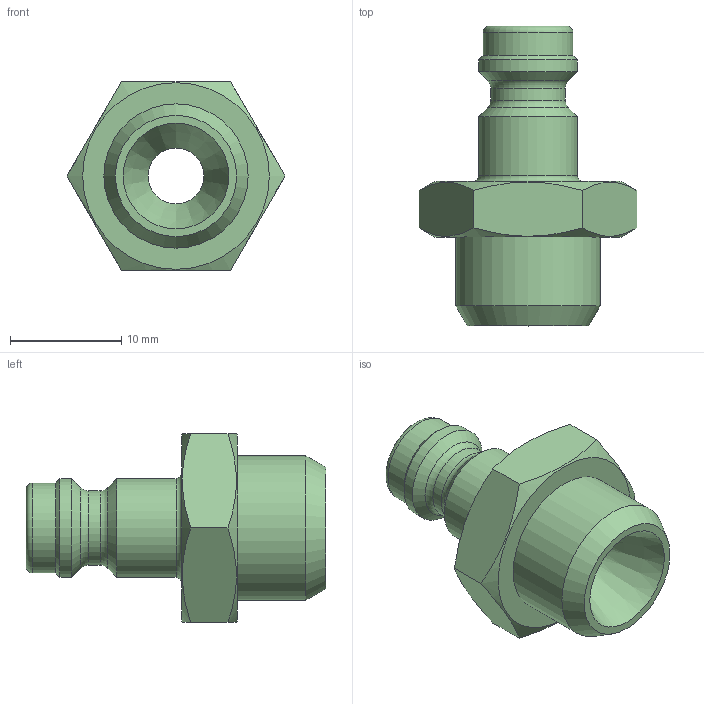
import cadquery as cq
import math


total_length = 27.0
spigot_length = 8.0
hex_thickness = 5.0

spigot_radius = 6.5
spigot_chamfer_length = 1.8
spigot_chamfer_angle = math.radians(30)
spigot_end_radius = spigot_radius - spigot_chamfer_length * math.tan(spigot_chamfer_angle)

hex_sides = 6
hex_across_flats = 17.0
hex_across_corners = hex_across_flats / math.cos(math.pi / hex_sides)
hex_face_radius = 8.4
hex_chamfer_angle = math.radians(30)

nipple_radius = 4.45
nipple_root_fillet = 0.5
tip_radius = 4.05
tip_length = 2.65
tip_fillet = 0.6
neck_radius = 3.35
neck_length = 1.05
neck_blend_radius = 1.0
collar_end = 4.1

bore_radius = 2.5
seat_radius = 4.75
seat_half_angle = math.radians(22.5)
seat_depth = (seat_radius - bore_radius) / math.tan(seat_half_angle)

hex_front = spigot_length
hex_back = hex_front + hex_thickness
tip_end = total_length


def revolve_about_y(profile):
    """Turn a YZ profile, drawn as (y, radius), fully around the Y axis."""
    return profile.close().revolve(360, (0, 0, 0), (1, 0, 0))


def make_spigot():
    profile = (
        cq.Workplane("YZ")
        .lineTo(0, spigot_end_radius)
        .lineTo(spigot_chamfer_length, spigot_radius)
        .lineTo(hex_front, spigot_radius)
        .lineTo(hex_front, 0)
    )
    return revolve_about_y(profile)


def make_hexagon():
    prism = (
        cq.Workplane("XZ", origin=(0, hex_back, 0))
        .polygon(hex_sides, hex_across_corners)
        .extrude(hex_thickness)
    )
    half_thickness = hex_thickness / 2
    apex_radius = hex_face_radius + half_thickness / math.tan(hex_chamfer_angle)
    envelope = revolve_about_y(
        cq.Workplane("YZ")
        .moveTo(hex_front, 0)
        .lineTo(hex_front, hex_face_radius)
        .lineTo(hex_front + half_thickness, apex_radius)
        .lineTo(hex_back, hex_face_radius)
        .lineTo(hex_back, 0)
    )
    return prism.intersect(envelope)


def make_nipple():
    flank_angle = math.radians(45)
    diagonal = math.cos(flank_angle)
    blend_length = neck_blend_radius * diagonal
    blend_rise = neck_blend_radius * (1 - diagonal)
    half_blend = flank_angle / 2
    middle_length = neck_blend_radius * math.sin(half_blend)
    middle_rise = neck_blend_radius * (1 - math.cos(half_blend))
    flank_length = nipple_radius - neck_radius - blend_rise

    neck_back = tip_end - collar_end - flank_length - blend_length
    neck_front = neck_back - neck_length
    groove_front = neck_front - blend_length - flank_length
    collar_back = tip_end - tip_length - (nipple_radius - tip_radius)

    root_inset = nipple_root_fillet * (1 - diagonal)
    tip_inset = tip_fillet * (1 - diagonal)
    blend_radius = neck_radius + blend_rise
    middle_radius = neck_radius + middle_rise

    profile = (
        cq.Workplane("YZ")
        .moveTo(hex_back, 0)
        .lineTo(hex_back, nipple_radius + nipple_root_fillet)
        .threePointArc(
            (hex_back + root_inset, nipple_radius + root_inset),
            (hex_back + nipple_root_fillet, nipple_radius),
        )
        .lineTo(groove_front, nipple_radius)
        .lineTo(neck_front - blend_length, blend_radius)
        .threePointArc((neck_front - middle_length, middle_radius), (neck_front, neck_radius))
        .lineTo(neck_back, neck_radius)
        .threePointArc(
            (neck_back + middle_length, middle_radius),
            (neck_back + blend_length, blend_radius),
        )
        .lineTo(tip_end - collar_end, nipple_radius)
        .lineTo(collar_back, nipple_radius)
        .lineTo(tip_end - tip_length, tip_radius)
        .lineTo(tip_end - tip_fillet, tip_radius)
        .threePointArc(
            (tip_end - tip_inset, tip_radius - tip_inset),
            (tip_end, tip_radius - tip_fillet),
        )
        .lineTo(tip_end, 0)
    )
    return revolve_about_y(profile)


def make_bore():
    """Through bore with a conical seat opening at the spigot end."""
    profile = (
        cq.Workplane("YZ")
        .lineTo(0, seat_radius)
        .lineTo(seat_depth, bore_radius)
        .lineTo(tip_end, bore_radius)
        .lineTo(tip_end, 0)
    )
    return revolve_about_y(profile)


result = make_spigot().union(make_hexagon()).union(make_nipple()).cut(make_bore())